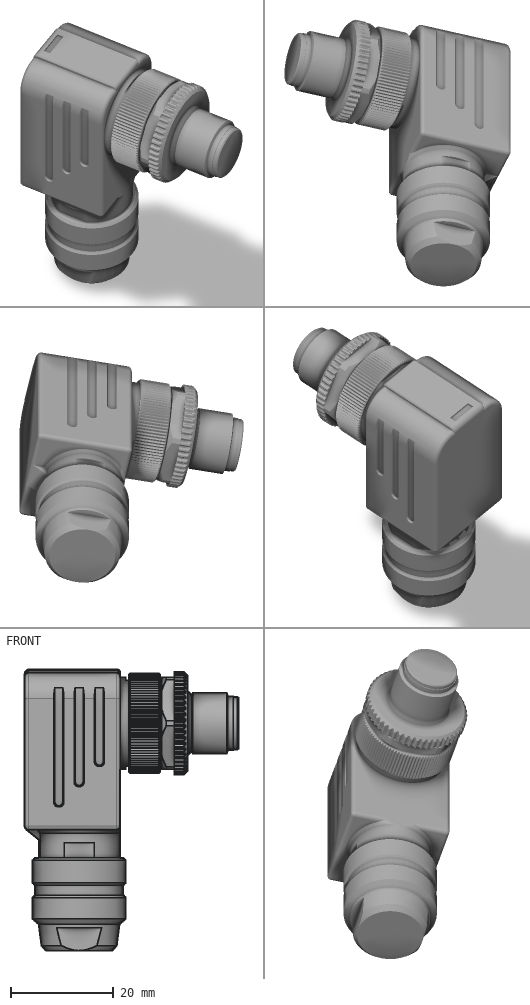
import cadquery as cq
import math

plug_axis_z = 44.45

housing_left = -10.65
housing_right = 8.05
housing_width = 19.9
housing_bottom = 23.65
housing_top = 54.3
housing_corner = 5.0
housing_edge = 0.75
housing_length = housing_right - housing_left

panel_top = 55.0
panel_width = 8.9
panel_bevel = 0.2
panel_left_round = 1.1
panel_right_round = 0.75
mark_offset = 1.45
mark_size = (1.3, 5.3)
mark_depth = 0.4

groove_width = 2.0
groove_depth = 0.45
groove_taper = 25
groove_pitch = 3.95
groove_bottom_middle = 32.05

neck_radius = 8.05
neck_flare_radius = 8.45
neck_flare_height = 0.7
neck_flat = 7.5
neck_flat_top = 21.1
gland_top = 18.15
gland_radius = 9.15
gland_bevel = 0.5
waist_top = 12.8
waist_bottom = 10.9
gland_taper_top = 6.25
nose_top = 5.2
nose_top_radius = 7.9
nose_rim_height = 1.05
nose_rim_radius = 7.35
nose_end_radius = 6.45
nose_flat = 6.5
nose_flat_top = 4.5

keyway_width = 5.05
keyway_floor_radius = 7.35
rib_width = 1.3
rib_root = 7.2
rib_crest = 7.9
wedge_start_x = -10.3
wedge_end_z = 21.7
wedge_foot_radius = 6.6

collar_radius = 9.0
collar_flat = 8.4
collar_flat_start = 9.15
collar_flat_width = 6.4
knurl_start = 9.75
knurl_end = 15.85
knurl_radius = 9.8
knurl_depth = 0.35
knurl_teeth = 98
knurl_bevel = 0.35
core_radius = 7.4
nut_start = 16.1
nut_diameter = 20.2
nut_radius = nut_diameter / 2
nut_across_flats = 18.0
nut_turn = 30
nut_bevel = 0.9
ring_start = 18.55
ring_end = 21.2
ring_bevel = 0.75
ring_teeth = 52
ring_depth = 0.4
ring_land = 0.25
cone_start_radius = 6.25
cone_end = 22.0
plug_groove_radius = 5.55
plug_start = 22.2
plug_end = 28.8
plug_radius = 6.0
tip_radius = 5.3
tip_step = 30.15
tip_end_radius = 5.15
tip_end = 31.15
tip_bevel = 0.2


def along_x(start):
    """Workplane across the plug axis; its local x is Y and its local y is Z."""
    return cq.Workplane("YZ", origin=(start, 0, plug_axis_z))


def turned_on_plug_axis(profile):
    """Solid of revolution from (x, radius) points."""
    outline = [(profile[0][0], 0)] + profile + [(profile[-1][0], 0)]
    solid = cq.Workplane("XZ").polyline(outline).close().revolve(360, (0, 0, 0), (1, 0, 0))
    return solid.translate((0, 0, plug_axis_z))


def turned_on_gland_axis(profile):
    """Solid of revolution from (radius, z) points."""
    outline = [(0, profile[0][1])] + profile + [(0, profile[-1][1])]
    return cq.Workplane("XZ").polyline(outline).close().revolve(360, (0, 0, 0), (0, 1, 0))


def toothed_bar(start, length, crest, root, count, land=0):
    """Straight-toothed bar; land is the flat share of the pitch at crest and root, 0 for sharp teeth."""
    pitch = 2 * math.pi / count
    outline = []
    for half_tooth in range(2 * count):
        radius = crest if half_tooth % 2 == 0 else root
        shifts = (-land / 2, land / 2) if land else (0,)
        for shift in shifts:
            angle = (half_tooth / 2 + shift) * pitch
            outline.append((radius * math.cos(angle), radius * math.sin(angle)))
    return along_x(start).polyline(outline).close().extrude(length)


def finger_grooves(side):
    """Three tapered grooves of stepped length on the side facing -Y (-1) or +Y (+1)."""
    plane = cq.Plane(origin=(0, side * housing_width / 2, 0), xDir=(1, 0, 0), normal=(0, side, 0))
    half = groove_width / 2
    up = -side
    cutters = cq.Workplane("XY")
    for step in (-1, 0, 1):
        middle = step * groove_pitch
        bottom = groove_bottom_middle + step * groove_pitch
        cutter = (
            cq.Workplane(plane)
            .moveTo(middle - half, up * housing_top)
            .lineTo(middle - half, up * (bottom + half))
            .threePointArc((middle, up * bottom), (middle + half, up * (bottom + half)))
            .lineTo(middle + half, up * housing_top)
            .close()
            .extrude(-groove_depth, taper=groove_taper)
        )
        cutters = cutters.add(cutter)
    return cutters.combine()


def make_housing():
    housing = (
        cq.Workplane("XY", origin=(0, 0, housing_bottom))
        .center((housing_left + housing_right) / 2, 0)
        .rect(housing_length, housing_width)
        .extrude(housing_top - housing_bottom)
        .edges("|X and >Z")
        .fillet(housing_corner)
        .faces("<X or >X or <Z")
        .edges()
        .fillet(housing_edge)
    )
    for side in (-1, 1):
        housing = housing.cut(finger_grooves(side))
    return housing


def make_panel():
    foot = housing_top - 2 * panel_left_round
    panel = (
        cq.Workplane("XY", origin=(0, 0, foot))
        .center((housing_left + housing_right) / 2, 0)
        .rect(housing_length, panel_width)
        .extrude(panel_top - foot)
    )
    panel = panel.edges(">Z and <X").fillet(panel_left_round)
    panel = panel.edges(">Z and >X").fillet(panel_right_round)
    panel = panel.edges(">Z and |X").chamfer(panel_bevel)
    mark = cq.Workplane("XY").box(*mark_size, 2 * mark_depth)
    return panel.cut(mark.translate((housing_left + mark_offset + mark_size[0] / 2, 0, panel_top)))


def flat_cutter(offset, width, bottom, height, side):
    """Block that leaves a flat at y = side * offset."""
    depth = gland_radius
    block = cq.Workplane("XY").box(width, depth, height, centered=(True, True, False))
    return block.translate((0, side * (offset + depth / 2), bottom))


def make_neck():
    flare_bottom = housing_bottom - neck_flare_height
    neck = turned_on_gland_axis([
        (neck_radius, gland_top),
        (neck_radius, flare_bottom),
        (neck_flare_radius, housing_bottom),
        (neck_flare_radius, housing_bottom + housing_edge),
    ])
    trim = cq.Workplane("XY").box(neck_radius, 2 * gland_radius, panel_top, centered=(False, True, False))
    neck = neck.cut(trim.translate((housing_right, 0, 0)))
    height = neck_flat_top - gland_top
    for side in (-1, 1):
        neck = neck.cut(flat_cutter(neck_flat, 2 * neck_radius, gland_top, height, side))

    keyway_height = housing_bottom - gland_top
    base = cq.Workplane("XY", origin=(0, 0, gland_top))
    floor = base.circle(keyway_floor_radius).extrude(keyway_height)
    back = base.center(-gland_radius / 2, 0).rect(gland_radius, keyway_width).extrude(keyway_height)
    keyway = back.cut(floor)
    rib = (
        base
        .polyline([(0, -rib_width / 2), (0, rib_width / 2),
                   (-rib_root, rib_width / 2),
                   (-rib_crest, 0),
                   (-rib_root, -rib_width / 2)])
        .close()
        .extrude(keyway_height)
    )
    slope = (housing_bottom - wedge_end_z) / (rib_crest + wedge_start_x)
    wedge_foot_z = wedge_end_z + slope * (rib_crest - wedge_foot_radius)
    wedge = (
        cq.Workplane("XZ")
        .polyline([(wedge_start_x, housing_bottom + housing_edge),
                   (wedge_start_x, housing_bottom),
                   (-wedge_foot_radius, wedge_foot_z),
                   (-wedge_foot_radius, housing_bottom + housing_edge)])
        .close()
        .extrude(keyway_width / 2, both=True)
    )
    return neck.cut(keyway).union(rib).union(wedge)


def make_gland():
    waist_radius = gland_radius - gland_bevel
    gland = turned_on_gland_axis([
        (nose_end_radius, 0),
        (nose_rim_radius, nose_rim_height),
        (nose_top_radius, nose_top),
        (gland_radius, gland_taper_top),
        (gland_radius, waist_bottom - gland_bevel),
        (waist_radius, waist_bottom),
        (waist_radius, waist_top),
        (gland_radius, waist_top + gland_bevel),
        (gland_radius, gland_top - gland_bevel),
        (waist_radius, gland_top),
    ])
    for side in (-1, 1):
        gland = gland.cut(flat_cutter(nose_flat, 2 * gland_radius, 0, nose_flat_top, side))
    return gland


def make_collar():
    collar = along_x(0).circle(collar_radius).extrude(knurl_start)
    length = knurl_start - collar_flat_start
    height = collar_radius - collar_flat
    for side in (-1, 1):
        middle = side * (collar_flat + height / 2)
        cutter = along_x(collar_flat_start).center(0, middle).rect(collar_flat_width, height).extrude(length)
        collar = collar.cut(cutter)
    return collar


def make_knurl():
    length = knurl_end - knurl_start
    root = knurl_radius - knurl_depth
    teeth = toothed_bar(knurl_start, length, knurl_radius, root, knurl_teeth)
    envelope = along_x(knurl_start).circle(knurl_radius).extrude(length).edges().chamfer(knurl_bevel)
    return teeth.intersect(envelope)


def make_nut():
    length = ring_start - nut_start
    hexagon = along_x(nut_start).polygon(6, nut_across_flats, circumscribed=True).extrude(length)
    hexagon = hexagon.rotate((0, 0, plug_axis_z), (1, 0, plug_axis_z), nut_turn)
    envelope = along_x(nut_start).circle(nut_radius).extrude(length).faces("<X").chamfer(nut_bevel)
    return hexagon.intersect(envelope)


def make_ring():
    length = ring_end - ring_start
    root = nut_radius - ring_depth
    teeth = toothed_bar(ring_start, length, nut_radius, root, ring_teeth, ring_land)
    envelope = along_x(ring_start).circle(nut_radius).extrude(length).faces(">X").chamfer(ring_bevel)
    return teeth.intersect(envelope)


def make_plug():
    return turned_on_plug_axis([
        (0, core_radius),
        (ring_start, core_radius),
        (ring_end, cone_start_radius),
        (cone_end, plug_groove_radius),
        (plug_start, plug_groove_radius),
        (plug_start, plug_radius),
        (plug_end, plug_radius),
        (plug_end + tip_bevel, tip_radius),
        (tip_step, tip_radius),
        (tip_step, tip_end_radius),
        (tip_end - tip_bevel, tip_end_radius),
        (tip_end, tip_end_radius - tip_bevel),
    ])


result = make_housing()
for piece in (make_panel(), make_neck(), make_gland(), make_collar(), make_plug(),
              make_knurl(), make_nut(), make_ring()):
    result = result.union(piece)